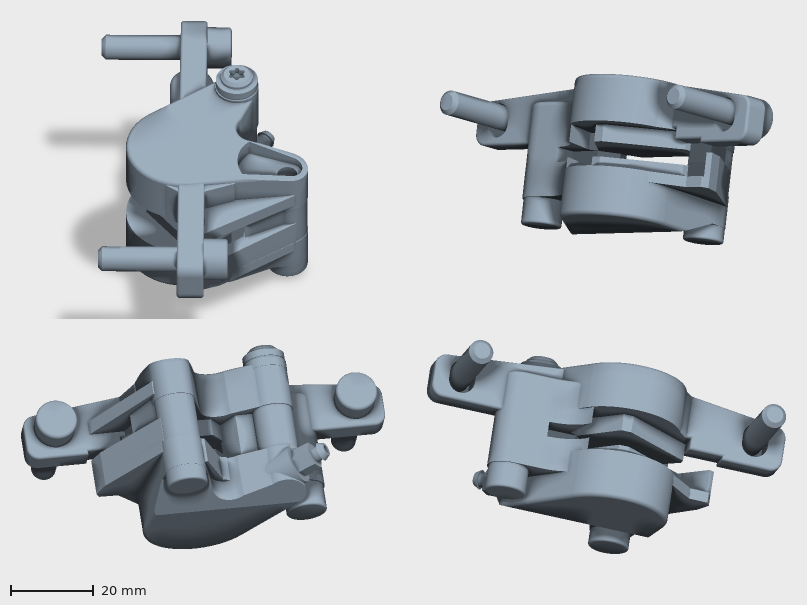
import cadquery as cq
import math


TILT = 8.5
YAW = -29.7

TOP = 17.7
BOTTOM = -17.0
PAD_ROOF = 6.0
PAD_FLOOR = -5.0
DISC_HIGH = 1.9
DISC_LOW = -1.9
BOSS_TOP = 13.35
BOSS_BOTTOM = -10.2

MAIN, MAIN_R = (-2.0, -0.7), 13.85
PLUG, PLUG_R = (-21.8, 12.1), 5.2
CLAMP_A, CLAMP_B = (-28.2, 1.1), (3.65, 24.6)
CLAMP_HEAD_R = 4.9
CLAMP_HEAD_FILLET = 0.5
CLAMP_HEAD_BOTTOM = -16.5
BOSS_R = 5.3
BOSS_FILLET = 1.3
FLANK = [(-21.25, CLAMP_A[1] - BOSS_R), (-11.9, -10.0)]
LEFT_WALL = [(-14.45, 0), (-9.35, 5.95), (-12.75, 11.9)]
LOBE_R = 5.0
COLUMN_R = 4.85
RIM_FILLET = 1.0
PLUG_MID, PLUG_END = math.radians(130), math.radians(50)
LOBE_MID, LOBE_END = math.radians(90), math.radians(166)
SADDLE = [(-11.5, 13.3), (-7.2, 12.3), (-3.8, 15.7)]

CLEARANCE = 0.85
WIDE = 51.0
FALL = [(13.2, TOP), (30.6, 15.0), (30.6, TOP + CLEARANCE), (13.2, TOP + CLEARANCE)]
RISE = [(9.35, BOTTOM), (21.25, -12.75), (34, -12.75), (34, BOTTOM - CLEARANCE), (9.35, BOTTOM - CLEARANCE)]

POCKET_FLOOR = 13.4
POCKET_DEPTH = 8.5

PAD_OUTLINE = [(-4.25, -9.5), (-1.8, -9.5), (14.4, 2.9), (14.4, 4.7), (8.5, 11.05), (-6.8, 11.05), (-12.75, 1.7)]

DISC_SLOT = [(-21.1, -34), (0, -34), (0, 1.7), (-21.1, 1.7)]

PLUG_PROFILE = [
    (0, 16.15), (5.3, 16.15), (5.3, 18.4), (4.9, 18.4), (4.9, 18.9), (5.1, 18.9),
    (5.1, 20.6), (3.9, 20.9), (3.9, 21.6), (3.15, 22.35), (0, 22.35),
]
DRIVER_FLOOR = 20.7
DRIVER_DEPTH = 2.55
DRIVER_R = 1.6
DRIVER_LOBE_R = 0.5

TAB_END = [(21.7, 1.9), (22.5, 3.8), (20.8, 8.5)]
TAB_TOP = 1.1
LEDGE_BOTTOM = -7.65
WING_BOTTOM = -11.05
GUSSET_BOTTOM, GUSSET_TOP = 7.65, 10.9
NECK_TOP = 16.7
LOBE_ROOT = [(1.7, 24.65), (5.1, 14.45)]
SCREW_HOLE_R, SCREW_HOLE_FLOOR = 2.4, 6.8

EAR_FRONT, EAR_BACK = -1.8, 4.7
LEFT_EAR = [(-50.5, 3.2), (-18.7, 3.2), (-18.7, 16.8), (-50.5, 13.85)]
RIGHT_EAR = [
    (37.7, 2.6), (22.95, 2.6), (22.95, 3.6), (14.6, 3.6),
    (14.6, 6.4), (11.05, 6.4), (11.05, 17.25), (37.7, 13.8),
]
EAR_CORNER_R = 3.0
EAR_EDGE_FILLET = 0.7
BOLT_U = (-43.4, 30.35)
BOLT_W = 10.2
BOLT_R = 3.02
BOLT_HEAD_R = 5.0
BOLT_HEAD_LENGTH = 5.9
BOLT_TIP = -20.9
BOLT_TIP_CHAMFER = 1.0
BOLT_HEAD_FILLET = 0.85
SLOT_WIDTH = 6.5
SLOT_BOTTOM, SLOT_TOP = 5.1, 13.4

BLEED_CENTRE = (-25.7, 15.3, -9.4)
BLEED_AXIS = (-0.82, 0.55, 0.15)
BLEED_BOSS_R = 4.9
BLEED_BOSS_LENGTH = 8.5
NIPPLE_BORE_DEPTH = 4.25
NIPPLE_NECK_R = 1.8
NIPPLE_TIP_R = 2.4
HEX_FLATS = 6.0
HEX_LENGTH = 4.6
BARB_START = 6.5
BARB_LENGTH = 1.45
BARB_END_R = 1.6
NIPPLE_DRILL_R = 1.0
NIPPLE_DRILL_DEPTH = 5.1


def level(w):
    """Workplane normal to W at height w."""
    return cq.Workplane("XY").workplane(offset=w)


def disc(centre, radius, low, high):
    return level(low).center(*centre).circle(radius).extrude(high - low)


def plate(points, low, high):
    return level(low).polyline(points).close().extrude(high - low)


def rim_point(centre, radius, angle):
    return (centre[0] + radius * math.cos(angle), centre[1] + radius * math.sin(angle))


def tangent_angle(c1, r1, c2, r2, side):
    """Angle at which both circles meet their common outer tangent line; side is +1 or -1."""
    du, dv = c2[0] - c1[0], c2[1] - c1[1]
    return math.atan2(dv, du) + side * math.acos((r1 - r2) / math.hypot(du, dv))


def half_body(low, high):
    """Caliper half: main cylinder, plug boss and clamp lobe in one outline."""
    plug_angle = tangent_angle(MAIN, MAIN_R, PLUG, PLUG_R, 1)
    lobe_angle = tangent_angle(MAIN, MAIN_R, CLAMP_B, LOBE_R, -1)
    return (
        level(low)
        .moveTo(*rim_point(MAIN, MAIN_R, lobe_angle))
        .threePointArc((MAIN[0], MAIN[1] - MAIN_R), rim_point(MAIN, MAIN_R, plug_angle))
        .lineTo(*rim_point(PLUG, PLUG_R, plug_angle))
        .threePointArc(rim_point(PLUG, PLUG_R, PLUG_MID), rim_point(PLUG, PLUG_R, PLUG_END))
        .lineTo(*SADDLE[0])
        .threePointArc(*SADDLE[1:])
        .lineTo(*rim_point(CLAMP_B, LOBE_R, LOBE_END))
        .threePointArc(rim_point(CLAMP_B, LOBE_R, LOBE_MID), rim_point(CLAMP_B, LOBE_R, lobe_angle))
        .close()
        .extrude(high - low)
    )


def upper_half():
    body = half_body(PAD_ROOF, TOP).faces(">Z").edges().fillet(RIM_FILLET)
    fall = (
        cq.Workplane("YZ")
        .polyline(FALL)
        .close()
        .extrude(WIDE, both=True)
    )
    body = body.cut(fall)
    pocket = (
        level(POCKET_FLOOR)
        .moveTo(-3.4, 15.3)
        .threePointArc((2.55, 12.6), (8.2, 13.8))
        .lineTo(6.7, 26.2)
        .threePointArc((3.6, 28.2), (0.5, 26.35))
        .close()
        .extrude(POCKET_DEPTH)
    )
    return body.cut(pocket)


def lower_half():
    body = half_body(BOTTOM, PAD_FLOOR).faces("<Z").edges().fillet(RIM_FILLET)
    rise = (
        cq.Workplane("YZ")
        .polyline(RISE)
        .close()
        .extrude(WIDE, both=True)
    )
    body = body.cut(rise)
    ledge = plate([(8.5, -8.5), (14.45, -1.3), (17, 1.7), *TAB_END, (8.5, 26.35)], LEDGE_BOTTOM, PAD_FLOOR)
    wing = plate([(-8.9, 12.75), (-7.05, 13.6), (-1.95, 25.9), (3.4, 25.5), (0, 8.5)], WING_BOTTOM, PAD_FLOOR)
    return body.union(ledge).union(wing)


def left_bridge():
    boss_u, boss_v = CLAMP_A
    body = (
        level(BOSS_BOTTOM)
        .moveTo(boss_u, boss_v - BOSS_R)
        .lineTo(*FLANK[0])
        .tangentArcPoint(FLANK[1], relative=False)
        .polyline(LEFT_WALL, includeCurrent=True)
        .lineTo(*PLUG)
        .lineTo(boss_u, boss_v + BOSS_R)
        .threePointArc((boss_u - BOSS_R, boss_v), (boss_u, boss_v - BOSS_R))
        .close()
        .extrude(BOSS_TOP - BOSS_BOTTOM)
    )
    outer_rim = cq.selectors.BoxSelector((-42.5, -17, BOSS_TOP - 0.85), (-13.8, 4.25, BOSS_TOP + 0.85))
    body = body.edges(outer_rim).fillet(BOSS_FILLET)
    body = body.union(disc(PLUG, COLUMN_R, BOSS_BOTTOM, BOSS_TOP))
    return body.cut(plate(DISC_SLOT, DISC_LOW, DISC_HIGH))


def right_bridge():
    """Tab, column and gusset that join the halves beside the second clamp screw."""
    tab = plate([(12.75, 14.0), (21.25, 3.15), *TAB_END[1:], (8.1, 26.8), *LOBE_ROOT], PAD_FLOOR, TAB_TOP)
    inner_wall = plate([(11.9, 14.9), (13.2, 14.45), (7.2, 26.35), *LOBE_ROOT], TAB_TOP, GUSSET_BOTTOM)
    gusset = plate([(10.2, 4.25), (22.35, 4.25), (8.7, 26.35), *LOBE_ROOT], GUSSET_BOTTOM, GUSSET_TOP)
    neck = plate([(7.65, 12.75), (10.6, 11.9), (13.4, 4.7), (13.4, EAR_FRONT), (8.5, -8.5)], PAD_ROOF, NECK_TOP)
    column = disc(CLAMP_B, COLUMN_R, BOSS_BOTTOM, PAD_ROOF)
    return tab.union(inner_wall).union(gusset).union(neck).union(column)


def pads():
    upper = plate(PAD_OUTLINE, DISC_HIGH, PAD_ROOF)
    return upper.union(plate(PAD_OUTLINE, PAD_FLOOR, DISC_LOW))


def ear(profile, tip):
    """Mounting ear from its U-W outline; tip selects the end with rounded corners."""
    body = cq.Workplane("XZ", origin=(0, EAR_BACK, 0)).polyline(profile).close().extrude(EAR_BACK - EAR_FRONT)
    body = body.faces(tip).edges("|Y").fillet(EAR_CORNER_R)
    return body.faces("<Y or >Y").edges().fillet(EAR_EDGE_FILLET)


def ears():
    left = ear(LEFT_EAR, "<X")
    right = ear(RIGHT_EAR, ">X")
    return left.union(right)


def bolt_slots():
    middle = (SLOT_TOP + SLOT_BOTTOM) / 2
    return (
        cq.Workplane("XZ", origin=(0, EAR_BACK, 0))
        .pushPoints([(u, middle) for u in BOLT_U])
        .slot2D(SLOT_TOP - SLOT_BOTTOM, SLOT_WIDTH, 90)
        .extrude(EAR_BACK - EAR_FRONT)
    )


def clamp_heads():
    heads = disc(CLAMP_A, CLAMP_HEAD_R, CLAMP_HEAD_BOTTOM, BOSS_BOTTOM)
    heads = heads.union(disc(CLAMP_B, CLAMP_HEAD_R, CLAMP_HEAD_BOTTOM, BOSS_BOTTOM))
    return heads.faces("<Z").edges().fillet(CLAMP_HEAD_FILLET)


def hose_plug():
    """Stepped plug with a six-lobed driver recess."""
    body = cq.Workplane("XZ").polyline(PLUG_PROFILE).close().revolve(360, (0, 0), (0, 1))
    recess = level(DRIVER_FLOOR).circle(DRIVER_R).extrude(DRIVER_DEPTH)
    lobes = level(DRIVER_FLOOR).polarArray(DRIVER_R, 0, 360, 6).circle(DRIVER_LOBE_R).extrude(DRIVER_DEPTH)
    recess = recess.union(lobes)
    return body.cut(recess).translate((*PLUG, 0))


def bleed_plane():
    return cq.Workplane(cq.Plane(origin=BLEED_CENTRE, xDir=(0, 0, 1), normal=BLEED_AXIS))


def bleed_boss():
    return bleed_plane().circle(BLEED_BOSS_R).extrude(-BLEED_BOSS_LENGTH)


def make_housing():
    body = upper_half().union(lower_half()).union(left_bridge()).union(right_bridge())
    body = body.union(pads()).union(ears()).union(clamp_heads()).union(hose_plug()).union(bleed_boss())
    body = body.cut(bolt_slots()).cut(disc(CLAMP_B, SCREW_HOLE_R, SCREW_HOLE_FLOOR, TOP))
    return body.cut(bleed_plane().circle(NIPPLE_NECK_R).extrude(-NIPPLE_BORE_DEPTH))


def make_bolt(u):
    shank = cq.Workplane("XZ", origin=(u, BOLT_TIP, BOLT_W)).circle(BOLT_R).extrude(BOLT_TIP - EAR_BACK)
    shank = shank.faces("<Y").chamfer(BOLT_TIP_CHAMFER)
    head = cq.Workplane("XZ", origin=(u, EAR_BACK, BOLT_W)).circle(BOLT_HEAD_R).extrude(-BOLT_HEAD_LENGTH)
    return shank.union(head.faces(">Y").edges().fillet(BOLT_HEAD_FILLET))


def make_nipple():
    root = bleed_plane().workplane(offset=-NIPPLE_BORE_DEPTH)
    body = root.circle(NIPPLE_NECK_R).extrude(NIPPLE_BORE_DEPTH + BARB_START)
    body = body.union(bleed_plane().polygon(6, HEX_FLATS, circumscribed=True).extrude(HEX_LENGTH))
    barb = bleed_plane().workplane(offset=BARB_START).circle(NIPPLE_TIP_R)
    body = body.union(barb.workplane(offset=BARB_LENGTH).circle(BARB_END_R).loft())
    mouth = bleed_plane().workplane(offset=BARB_START + BARB_LENGTH)
    return body.cut(mouth.circle(NIPPLE_DRILL_R).extrude(-NIPPLE_DRILL_DEPTH))


def place(body):
    """Tilt a body from the caliper frame into its final attitude."""
    return body.rotate((0, 0, 0), (0, 1, 0), TILT).rotate((0, 0, 0), (0, 0, 1), YAW)


housing = place(make_housing())
bolts = [place(make_bolt(u)) for u in BOLT_U]
nipple = place(make_nipple())

result = cq.Compound.makeCompound([housing.val(), *[bolt.val() for bolt in bolts], nipple.val()])